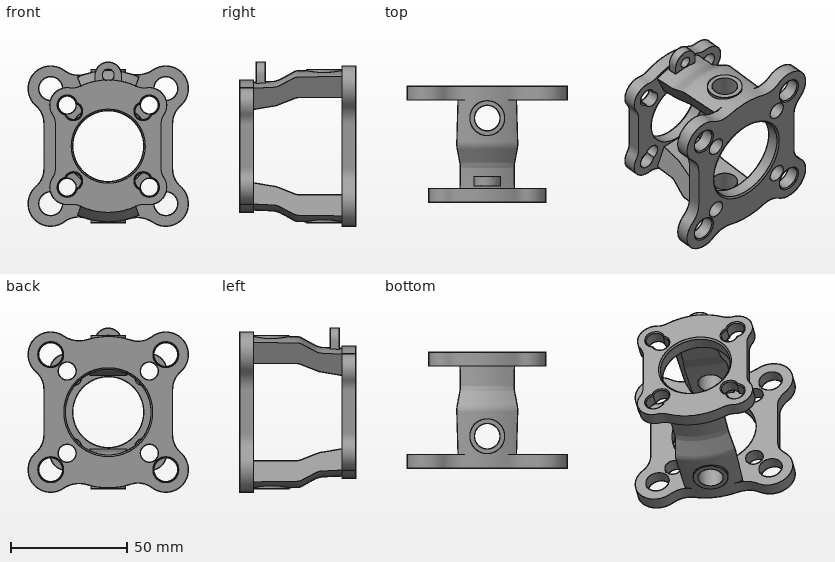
import cadquery as cq
import math

length = 50.0
flange_thickness = 6.0
large_face_y = length - flange_thickness

large_lobe_offset = 24.75
large_lobe_radius = 9.75
large_side = 27.7
large_blend = 10.05
large_right_crown_blend = 12.0
large_crown_radius = 32.5
large_bolt_diameter = 10.2
large_bore_diameter = 36.8

bore_chamfer = 0.7
hole_chamfer = 0.5

small_lobe_offset = 17.7
small_lobe_radius = 7.5
small_side = 22.7
small_blend = 7.5
small_crown_radius = 28.5
small_bore_diameter = 30.5

screw_diameter = 7.6
inner_screw_offset = 15.0
inner_screw_diameter = 7.0

outer_back_bend_y = 24.25
outer_front_bend_y = 15.9
outer_front_bend_radius = 27.9
outer_front_radius = 27.5
inner_back_bend_y = 24.6
inner_back_z = 20.85
inner_front_bend_y = 15.8
inner_front_bend_z = 17.4
inner_front_z = 15.6
bend_blend = 5.0
flange_overlap = 0.7
side_slope = 0.43
side_draft = 0.034

boss_y = 36.2
boss_diameter = 15.0
boss_top = 33.0
cross_hole_diameter = 10.9

ear_width = 11.3
ear_top = 36.2
ear_front_y = 7.1
ear_thickness = 3.95
ear_hole_diameter = 5.1
ear_center_z = ear_top - ear_width / 2


def xz_plane(y):
    """Workplane at the given Y with local axes X and Z; extrusions go toward -Y."""
    return cq.Workplane("XZ", origin=(0, y, 0))


def rod(y_start, y_end, x, z, diameter):
    return xz_plane(y_end).center(x, z).circle(diameter / 2).extrude(y_end - y_start)


def corners(offset):
    return [(x, z) for x in (-offset, offset) for z in (-offset, offset)]


def toward(start, end, distance):
    """Point at the given distance from start on the line to end."""
    span = math.dist(start, end)
    return tuple(a + (b - a) * distance / span for a, b in zip(start, end))


def arc_middle(center, first, last):
    """Middle point of the arc about center from first to last."""
    chord_middle = tuple((a + b) / 2 for a, b in zip(first, last))
    return toward(center, chord_middle, math.dist(center, first))


def lobe_corner(lobe_offset, lobe_radius, side, side_blend, crown_radius, crown_blend):
    """Points of the +X +Z corner: three tangent arcs leading from the flat side to the crown."""
    lobe = (lobe_offset, lobe_offset)

    side_center_x = side + side_blend
    side_reach = lobe_radius + side_blend
    side_center_z = lobe_offset - math.sqrt(side_reach**2 - (side_center_x - lobe_offset) ** 2)
    side_center = (side_center_x, side_center_z)
    side_start = (side, side_center_z)
    side_end = toward(lobe, side_center, lobe_radius)

    lobe_distance = math.hypot(*lobe)
    lobe_reach = lobe_radius + crown_blend
    crown_reach = crown_radius + crown_blend
    cosine = (lobe_distance**2 + crown_reach**2 - lobe_reach**2) / (2 * lobe_distance * crown_reach)
    angle = math.radians(45) + math.acos(cosine)
    crown_center = (crown_reach * math.cos(angle), crown_reach * math.sin(angle))
    crown_start = toward(lobe, crown_center, lobe_radius)
    crown_end = toward((0, 0), crown_center, crown_radius)

    lobe_tip = lobe_offset + lobe_radius * math.sin(math.radians(45))
    return [
        side_start,
        arc_middle(side_center, side_start, side_end),
        side_end,
        (lobe_tip, lobe_tip),
        crown_start,
        arc_middle(crown_center, crown_start, crown_end),
        crown_end,
    ]


def flange(y_start, right_corner, left_corner, crown_radius):
    """Four-lobed plate: flat left and right sides, round crowns above and below."""
    upper_right = right_corner
    upper_left = [(-x, z) for x, z in reversed(left_corner)]
    lower_left = [(-x, -z) for x, z in left_corner]
    lower_right = [(x, -z) for x, z in reversed(right_corner)]

    def follow(outline, corner):
        for middle, end in zip(corner[1::2], corner[2::2]):
            outline = outline.threePointArc(middle, end)
        return outline

    outline = xz_plane(y_start + flange_thickness).moveTo(*upper_right[0])
    outline = follow(outline, upper_right).threePointArc((0, crown_radius), upper_left[0])
    outline = follow(outline, upper_left).lineTo(*lower_left[0])
    outline = follow(outline, lower_left).threePointArc((0, -crown_radius), lower_right[0])
    return follow(outline, lower_right).close().extrude(flange_thickness)


def large_flange():
    shape = (large_lobe_offset, large_lobe_radius, large_side, large_blend, large_crown_radius)
    right_corner = lobe_corner(*shape, large_right_crown_blend)
    left_corner = lobe_corner(*shape, large_blend)
    return flange(large_face_y, right_corner, left_corner, large_crown_radius)


def small_flange():
    shape = (small_lobe_offset, small_lobe_radius, small_side, small_blend, small_crown_radius)
    corner = lobe_corner(*shape, small_blend)
    return flange(0, corner, corner, small_crown_radius)


def bend_edges(y):
    """Selects the edge centered above the bore axis, or the ring around it, at a given Y."""
    margin = 0.35
    return cq.selectors.BoxSelector((-margin, y - margin, -boss_top), (margin, y + margin, boss_top))


def turned_envelope(front_y):
    """Solid of revolution about the bore axis that bounds the outer face of both bridges."""
    envelope = (
        cq.Workplane("XY")
        .moveTo(0, front_y)
        .lineTo(outer_front_radius, front_y)
        .lineTo(outer_front_bend_radius, outer_front_bend_y)
        .lineTo(large_crown_radius, outer_back_bend_y)
        .lineTo(large_crown_radius, length)
        .lineTo(0, length)
        .close()
        .revolve(360, (0, 0, 0), (0, 1, 0))
    )
    for y in (outer_back_bend_y, outer_front_bend_y):
        envelope = envelope.edges(bend_edges(y)).fillet(bend_blend)
    return envelope


def bridge_slab(front_y):
    """Wide slab whose underside is the bent inner face of the upper bridge."""
    slab = (
        cq.Workplane("YZ")
        .moveTo(front_y, inner_front_z)
        .lineTo(inner_front_bend_y, inner_front_bend_z)
        .lineTo(inner_back_bend_y, inner_back_z)
        .lineTo(length, inner_back_z)
        .lineTo(length, boss_top)
        .lineTo(front_y, boss_top)
        .close()
        .extrude(large_side, both=True)
    )
    return slab.edges(bend_edges(inner_back_bend_y)).fillet(bend_blend)


def bridge_wedge(front_y):
    """Wedge between the two drafted flat sides of the upper bridge."""

    def section(y):
        low_z = inner_front_z - flange_overlap
        draft = side_draft * (boss_y - y)
        low_x = side_slope * low_z + draft
        top_x = side_slope * boss_top + draft
        points = [(-low_x, low_z), (low_x, low_z), (top_x, boss_top), (-top_x, boss_top)]
        return cq.Wire.makePolygon([cq.Vector(x, y, z) for x, z in points], close=True)

    return cq.Workplane(cq.Solid.makeLoft([section(length), section(front_y)], True))


def bridge():
    """Upper bridge, running through the large flange and into the small one."""
    front_y = flange_thickness - flange_overlap
    return bridge_slab(front_y).intersect(bridge_wedge(front_y)).intersect(turned_envelope(front_y))


def boss():
    """Upper cross boss, rising from the inner face of the bridge."""
    base = cq.Workplane("XY", origin=(0, boss_y, inner_back_z))
    return base.circle(boss_diameter / 2).extrude(boss_top - inner_back_z)


def ear():
    """Round-topped ear with its foot sunk in the bridge."""
    back_y = ear_front_y + ear_thickness
    foot_z = (inner_front_z + outer_front_radius) / 2
    post = (
        xz_plane(back_y)
        .center(0, (foot_z + ear_center_z) / 2)
        .rect(ear_width, ear_center_z - foot_z)
        .extrude(ear_thickness)
    )
    return post.union(rod(ear_front_y, back_y, 0, ear_center_z, ear_width))


def chamfer_cone(face_y, inward, x, z, diameter, chamfer):
    """Cone that chamfers a hole at a face; inward is the Y direction into the material."""
    wide_radius = diameter / 2 + chamfer
    cone = cq.Solid.makeCone(
        wide_radius, diameter / 2, chamfer, cq.Vector(x, face_y, z), cq.Vector(0, inward, 0)
    )
    return cq.Workplane(cone)


def small_flange_hole(x, z, diameter, chamfer):
    """Cutter for a hole chamfered at the front face."""
    hole = rod(0, flange_thickness, x, z, diameter)
    return hole.union(chamfer_cone(0, 1, x, z, diameter, chamfer))


def large_flange_hole(x, z, diameter, chamfer):
    """Cutter for a hole chamfered at the back face."""
    hole = rod(large_face_y, length, x, z, diameter)
    return hole.union(chamfer_cone(length, -1, x, z, diameter, chamfer))


result = large_flange().union(small_flange())
for half_turn in (0, 180):
    for feature in (bridge(), boss()):
        result = result.union(feature.rotate((0, 0, 0), (0, 1, 0), half_turn))
result = result.union(ear())

result = result.cut(large_flange_hole(0, 0, large_bore_diameter, bore_chamfer))
result = result.cut(small_flange_hole(0, 0, small_bore_diameter, bore_chamfer))

for x, z in corners(large_lobe_offset):
    result = result.cut(large_flange_hole(x, z, large_bolt_diameter, hole_chamfer))

for x, z in corners(small_lobe_offset):
    result = result.cut(small_flange_hole(x, z, screw_diameter, hole_chamfer))
    result = result.cut(rod(large_face_y, length, x, z, screw_diameter))
for x, z in corners(inner_screw_offset):
    result = result.cut(small_flange_hole(x, z, inner_screw_diameter, hole_chamfer))

cross_plane = cq.Workplane("XY", origin=(0, boss_y, 0))
result = result.cut(cross_plane.circle(cross_hole_diameter / 2).extrude(boss_top, both=True))
result = result.cut(rod(ear_front_y, ear_front_y + ear_thickness, 0, ear_center_z, ear_hole_diameter))